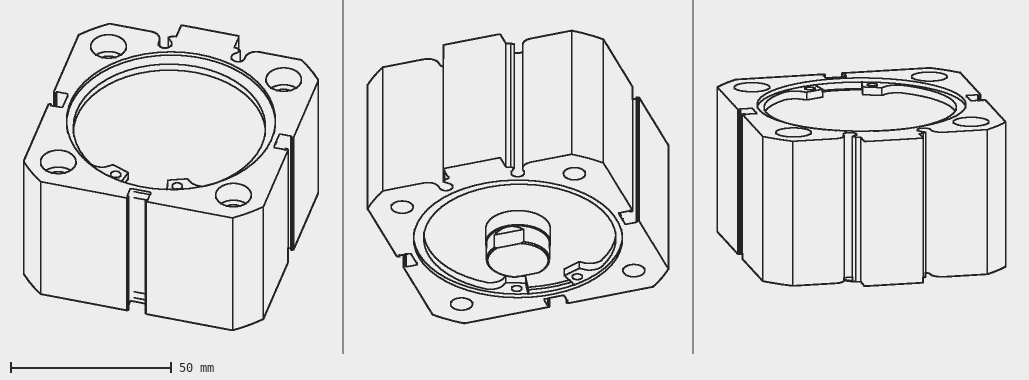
import cadquery as cq
import math


WIDTH = 77.5
HALF_WIDTH = WIDTH / 2
HEIGHT = 46.5
TOTAL_DEPTH = 83.0
CORNER_RADIUS = 49.6
BORE_RADIUS = 32.45

RAIL_TOP = TOTAL_DEPTH - HALF_WIDTH
RAIL_HALF_WIDTH = 9.4
RAIL_EDGE_RADIUS = 0.4
RAIL_SHOULDER = (10.8, 38.3)
RAIL_TIP = (11.7, 37.4)
CHANNEL_RADIUS = 2.1
CHANNEL_CENTER = (11.8, 34.45)
CHANNEL_MOUTH_RADIUS = 3.65

SLOT_ANGLES = (0, -90, 180)
SLOT_FLOOR = 34.1
SLOT_WIDTH = 6.6
SLOT_FLOOR_RADIUS = 0.5
SLOT_MOUTH_WIDTH = 5.5
SLOT_LIP = 0.9
SLOT_LIP_CHAMFER = 0.4

HOLE_OFFSET = 28.3
HOLE_DIAMETER = 6.8
COUNTERBORE_DIAMETER = 11.0
COUNTERBORE_DEPTH = 7.0

GROOVE_RADIUS = 33.9
RING_INSET = 1.3
RING_THICKNESS = 2.5
RING_INNER_RADIUS = 29.9
RING_INNER_SHIFT = -1.75
LUG_HOLE_RADIUS = 1.6
LUG_HOLE_CENTER = (10.0, -27.6)
LUG_GAP_CORNER = (6.4, -25.7)
LUG_OUTER_CORNER = (12.0, -23.4)
LUG_NECK = (13.7, -24.9)
LUG_NECK_BOTTOM = (16.1, -25.65)
LUG_NECK_START_X = 18.75
LUG_END_X = 7.9

ROD_RADIUS = 10.05
ROD_TIP_RADIUS = 9.8
ROD_COLLAR = 1.75
ROD_LENGTH = 8.05
ROD_TIP_CHAMFER = 0.4
FLAT_DISTANCE = 8.55
FLAT_TOP = 3.0

COVER_INSET = RING_INSET + RING_THICKNESS
MID_HEIGHT = HEIGHT / 2


def mirrored(point):
    return (-point[0], point[1])


def block():
    square = cq.Workplane("XY").rect(WIDTH, WIDTH).extrude(HEIGHT)
    turned = cq.Workplane("XY").circle(CORNER_RADIUS).extrude(HEIGHT)
    return square.intersect(turned)


def rail():
    """Rail that stands on the +Y face; its root is cut to shape by the channels."""
    root_y = CHANNEL_CENTER[1]
    return (
        cq.Workplane("XY")
        .center(0, (RAIL_TOP + root_y) / 2)
        .rect(2 * RAIL_HALF_WIDTH, RAIL_TOP - root_y)
        .extrude(HEIGHT)
        .edges("|Z and >Y")
        .fillet(RAIL_EDGE_RADIUS)
    )


def rail_channel():
    """Cutter for the channel on the +X flank of the rail."""
    center_x, center_y = CHANNEL_CENTER
    wall_x = center_x + CHANNEL_RADIUS
    diagonal = CHANNEL_RADIUS * math.sqrt(0.5)
    arc_drop = CHANNEL_MOUTH_RADIUS * (1 - math.sqrt(0.5))
    mouth_x = wall_x + CHANNEL_MOUTH_RADIUS
    return (
        cq.Workplane("XY")
        .moveTo(RAIL_HALF_WIDTH, HALF_WIDTH + CHANNEL_RADIUS)
        .lineTo(RAIL_HALF_WIDTH, HALF_WIDTH)
        .lineTo(*RAIL_SHOULDER)
        .lineTo(*RAIL_TIP)
        .lineTo(center_x - diagonal, center_y + diagonal)
        .threePointArc((center_x - diagonal, center_y - diagonal), (center_x, center_y - CHANNEL_RADIUS))
        .threePointArc((center_x + diagonal, center_y - diagonal), (wall_x, center_y))
        .lineTo(wall_x, HALF_WIDTH - CHANNEL_MOUTH_RADIUS)
        .threePointArc((wall_x + arc_drop, HALF_WIDTH - arc_drop), (mouth_x, HALF_WIDTH))
        .lineTo(mouth_x, HALF_WIDTH + CHANNEL_RADIUS)
        .close()
        .extrude(HEIGHT)
    )


def sensor_slot():
    """Cutter for the slot on the +X side: a wide channel behind two chamfered lips."""
    lip_back = HALF_WIDTH - SLOT_LIP
    half_mouth = SLOT_MOUTH_WIDTH / 2
    channel = (
        cq.Workplane("XY")
        .center((SLOT_FLOOR + lip_back) / 2, 0)
        .rect(lip_back - SLOT_FLOOR, SLOT_WIDTH)
        .extrude(HEIGHT)
        .edges("|Z and <X")
        .fillet(SLOT_FLOOR_RADIUS)
    )
    lip_x = HALF_WIDTH - SLOT_LIP_CHAMFER
    lip_y = half_mouth + SLOT_LIP_CHAMFER
    mouth = (
        cq.Workplane("XY")
        .moveTo(lip_back, -half_mouth)
        .lineTo(lip_x, -half_mouth)
        .lineTo(HALF_WIDTH, -lip_y)
        .lineTo(HALF_WIDTH, lip_y)
        .lineTo(lip_x, half_mouth)
        .lineTo(lip_back, half_mouth)
        .close()
        .extrude(HEIGHT)
    )
    return channel.union(mouth)


def ring_groove():
    """Cutter for the groove that holds the upper ring."""
    return (
        cq.Workplane("XY")
        .workplane(offset=HEIGHT - COVER_INSET)
        .circle(GROOVE_RADIUS)
        .extrude(RING_THICKNESS)
    )


def upside_down(body):
    """Mirror a body of the upper end to the lower end."""
    return body.mirror("XY", (0, 0, MID_HEIGHT))


def make_housing():
    housing = block().union(rail())
    channel = rail_channel()
    housing = housing.cut(channel).cut(channel.mirror("YZ"))
    for angle in SLOT_ANGLES:
        housing = housing.cut(sensor_slot().rotate((0, 0, 0), (0, 0, 1), angle))
    housing = (
        housing.faces(">Z")
        .workplane(origin=(0, 0, HEIGHT))
        .rect(2 * HOLE_OFFSET, 2 * HOLE_OFFSET, forConstruction=True)
        .vertices()
        .cboreHole(HOLE_DIAMETER, COUNTERBORE_DIAMETER, COUNTERBORE_DEPTH)
    )
    bore = cq.Workplane("XY").circle(BORE_RADIUS).extrude(HEIGHT)
    groove = ring_groove()
    return housing.cut(bore).cut(groove).cut(upside_down(groove))


def make_retaining_ring():
    """Upper ring: an open ring with a drilled lug on each side of its gap."""
    ring_end = (LUG_END_X, -math.sqrt(GROOVE_RADIUS**2 - LUG_END_X**2))
    neck_drop = math.sqrt(RING_INNER_RADIUS**2 - LUG_NECK_START_X**2)
    neck_start = (LUG_NECK_START_X, RING_INNER_SHIFT - neck_drop)
    return (
        cq.Workplane("XY")
        .workplane(offset=HEIGHT - COVER_INSET)
        .moveTo(*ring_end)
        .threePointArc((0, GROOVE_RADIUS), mirrored(ring_end))
        .lineTo(*mirrored(LUG_GAP_CORNER))
        .lineTo(*mirrored(LUG_OUTER_CORNER))
        .lineTo(*mirrored(LUG_NECK))
        .threePointArc(mirrored(LUG_NECK_BOTTOM), mirrored(neck_start))
        .threePointArc((0, RING_INNER_SHIFT + RING_INNER_RADIUS), neck_start)
        .threePointArc(LUG_NECK_BOTTOM, LUG_NECK)
        .lineTo(*LUG_OUTER_CORNER)
        .lineTo(*LUG_GAP_CORNER)
        .close()
        .pushPoints([LUG_HOLE_CENTER, mirrored(LUG_HOLE_CENTER)])
        .circle(LUG_HOLE_RADIUS)
        .extrude(RING_THICKNESS)
    )


def make_head_cover():
    """Plain disc that closes the upper half of the bore."""
    return (
        cq.Workplane("XY")
        .workplane(offset=MID_HEIGHT)
        .circle(BORE_RADIUS)
        .extrude(MID_HEIGHT - COVER_INSET)
    )


def make_rod_cover():
    """Disc in the lower half of the bore, with a hole for the rod."""
    rod_hole = cq.Workplane("XY").circle(ROD_RADIUS).extrude(HEIGHT)
    return upside_down(make_head_cover()).cut(rod_hole)


def make_rod():
    """Rod that narrows slightly to a chamfered tip with two wrench flats."""
    collar = (
        cq.Workplane("XY")
        .workplane(offset=-ROD_COLLAR)
        .circle(ROD_RADIUS)
        .extrude(ROD_COLLAR + MID_HEIGHT)
        .faces("<Z")
        .chamfer(ROD_RADIUS - ROD_TIP_RADIUS)
    )
    tip = (
        cq.Workplane("XY")
        .workplane(offset=-ROD_LENGTH)
        .circle(ROD_TIP_RADIUS)
        .extrude(ROD_LENGTH - ROD_COLLAR)
        .faces("<Z")
        .chamfer(ROD_TIP_CHAMFER)
    )
    run_out = ROD_RADIUS - FLAT_DISTANCE
    flat_cutter = (
        cq.Workplane("YZ")
        .moveTo(FLAT_DISTANCE, -ROD_LENGTH)
        .lineTo(FLAT_DISTANCE, -FLAT_TOP)
        .lineTo(ROD_RADIUS, run_out - FLAT_TOP)
        .lineTo(ROD_RADIUS, -ROD_LENGTH)
        .close()
        .extrude(ROD_RADIUS, both=True)
    )
    return collar.union(tip).cut(flat_cutter).cut(flat_cutter.mirror("XZ"))


housing = make_housing()
upper_ring = make_retaining_ring()
lower_ring = upside_down(upper_ring)
head_cover = make_head_cover()
rod_cover = make_rod_cover()
rod = make_rod()

result = cq.Compound.makeCompound([
    housing.val(),
    upper_ring.val(),
    lower_ring.val(),
    head_cover.val(),
    rod_cover.val(),
    rod.val(),
])